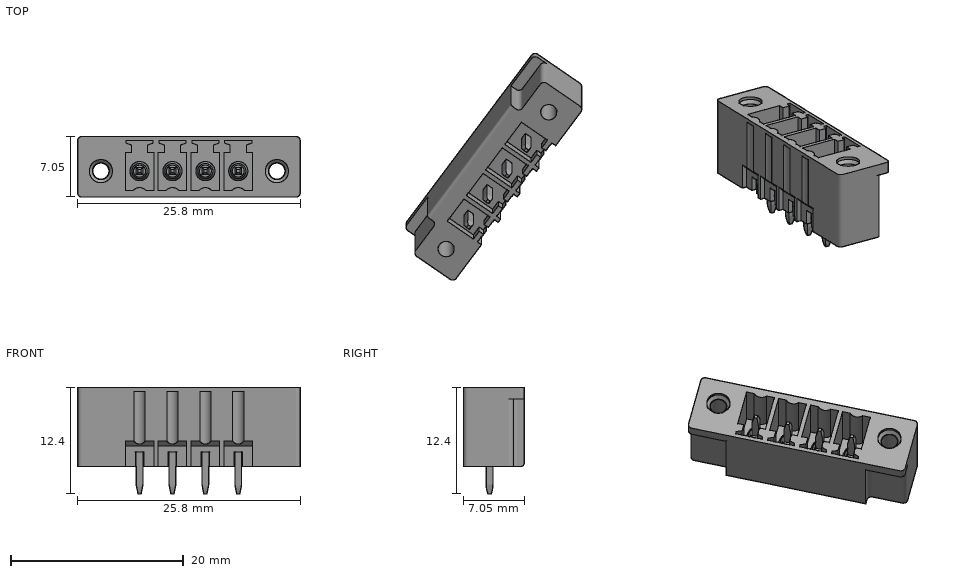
import cadquery as cq


length = 25.83
front_y = -3.02
back_y = 4.03
height = 9.2
corner_radius = 0.52
back_bottom_radius = 0.41

flange_thickness = 1.35
lug_back_y = 2.76
block_half_length = 8.32

screw_hole_x = 10.2
screw_hole_radius = 0.93
countersink_top_radius = 1.35
countersink_bottom_radius = 0.98
countersink_rim = 0.34
countersink_depth = 0.4

contact_count = 4
contact_row_length = 11.45
pitch = contact_row_length / (contact_count - 1)
contact_xs = [i * pitch - contact_row_length / 2 for i in range(contact_count)]

socket_half_width = 1.65
socket_floor_z = 3.2
socket_front_y = -2.25
socket_back_y = 2.17
coding_neck_half_width = 0.93
coding_neck_back_y = 3.02
coding_head_half_width = 1.58
coding_head_front_y = 3.25
coding_head_back_y = 3.56
bump_half_width = 0.75
bump_height = 0.34

groove_half_width = 0.65
groove_depth = 0.35
groove_top_z = height - 0.46

recess_depth = 0.57
recess_front_z = 2.97
recess_back_z = 2.4
skirt_thickness = 0.6
slot_half_width = 0.5
cavity_height = 1.7
cavity_front_y = front_y + recess_depth + skirt_thickness
cavity_back_y = -cavity_front_y

collar_base_radius = 1.1
collar_shoulder_radius = 0.88
collar_top_radius = 0.7
collar_shoulder_height = 0.9
collar_bevel_height = collar_shoulder_radius - collar_top_radius

pin_width = 0.8
pin_half_width = pin_width / 2
pin_tip_half_width = 0.18
pin_taper = 1.1
pin_bottom_z = -3.2
pin_top_z = 7.9
lower_taper_z = pin_bottom_z + pin_taper
upper_taper_z = pin_top_z - pin_taper
tip_inset = pin_half_width - pin_tip_half_width
tip_radius = (pin_taper**2 + tip_inset**2) / (2 * tip_inset)

selection_margin = 0.25


def box(x_min, x_max, y_min, y_max, z_min, z_max):
    """Box given by its limits along each axis."""
    return cq.Workplane("XY").box(
        x_max - x_min, y_max - y_min, z_max - z_min, centered=False
    ).translate((x_min, y_min, z_min))


def housing_block():
    """Flange plate, end lugs and middle block, before any openings."""
    flange_z = height - flange_thickness
    half_length = length / 2
    plate = box(-half_length, half_length, front_y, back_y, flange_z, height)
    plate = plate.edges("|Z").fillet(corner_radius)

    lugs = box(-half_length, half_length, front_y, lug_back_y, 0, flange_z)
    lugs = lugs.edges("|Z").fillet(corner_radius)
    middle = box(-block_half_length, block_half_length, front_y, back_y, 0, flange_z)
    lower = lugs.union(middle)
    inner_corners = cq.selectors.BoxSelector(
        (-block_half_length - selection_margin, lug_back_y - selection_margin, 0),
        (block_half_length + selection_margin, lug_back_y + selection_margin, flange_z),
    )
    lower = lower.edges("|Z").edges(inner_corners).fillet(corner_radius)
    lower = lower.faces("<Z").edges(">Y").fillet(back_bottom_radius)
    return plate.union(lower)


def screw_hole(x):
    """Through hole with a short straight rim and a conical countersink."""
    cone_top_z = height - countersink_rim
    cone_bottom_z = cone_top_z - countersink_depth
    profile = (
        cq.Workplane("XZ")
        .moveTo(0, 0)
        .lineTo(screw_hole_radius, 0)
        .lineTo(screw_hole_radius, cone_bottom_z)
        .lineTo(countersink_bottom_radius, cone_bottom_z)
        .lineTo(countersink_top_radius, cone_top_z)
        .lineTo(countersink_top_radius, height)
        .lineTo(0, height)
        .close()
    )
    return profile.revolve(360, (0, 0, 0), (0, 1, 0)).translate((x, 0, 0))


def socket():
    """Socket opening with the coding slot at the back and the bump at the front."""
    outline = (
        cq.Workplane("XY", origin=(0, 0, socket_floor_z))
        .moveTo(bump_half_width, socket_front_y)
        .lineTo(socket_half_width, socket_front_y)
        .lineTo(socket_half_width, socket_back_y)
        .lineTo(coding_neck_half_width, socket_back_y)
        .lineTo(coding_neck_half_width, coding_neck_back_y)
        .lineTo(coding_head_half_width, coding_head_front_y)
        .lineTo(coding_head_half_width, coding_head_back_y)
        .lineTo(-coding_head_half_width, coding_head_back_y)
        .lineTo(-coding_head_half_width, coding_head_front_y)
        .lineTo(-coding_neck_half_width, coding_neck_back_y)
        .lineTo(-coding_neck_half_width, socket_back_y)
        .lineTo(-socket_half_width, socket_back_y)
        .lineTo(-socket_half_width, socket_front_y)
        .lineTo(-bump_half_width, socket_front_y)
        .threePointArc((0, socket_front_y + bump_height), (bump_half_width, socket_front_y))
        .close()
    )
    return outline.extrude(height - socket_floor_z)


def collar():
    """Tapered collar with a beveled top that stands on the socket floor."""
    shoulder_z = socket_floor_z + collar_shoulder_height
    top_z = shoulder_z + collar_bevel_height
    profile = (
        cq.Workplane("XZ")
        .moveTo(0, socket_floor_z)
        .lineTo(collar_base_radius, socket_floor_z)
        .lineTo(collar_shoulder_radius, shoulder_z)
        .lineTo(collar_top_radius, top_z)
        .lineTo(0, top_z)
        .close()
    )
    return profile.revolve(360, (0, 0, 0), (0, 1, 0))


def front_groove():
    """Shallow round groove in the front face that runs down into the foot recess."""
    return (
        cq.Workplane("XY", origin=(0, 0, recess_back_z))
        .moveTo(-groove_half_width, front_y)
        .threePointArc((0, front_y + groove_depth), (groove_half_width, front_y))
        .close()
        .extrude(groove_top_z - recess_back_z)
    )


def foot_recess():
    """Recess in the front face, open at the bottom, with a sloped ceiling."""
    recess_back_y = front_y + recess_depth
    return (
        cq.Workplane("YZ", origin=(-socket_half_width, 0, 0))
        .moveTo(front_y, 0)
        .lineTo(recess_back_y, 0)
        .lineTo(recess_back_y, recess_back_z)
        .lineTo(front_y, recess_front_z)
        .close()
        .extrude(2 * socket_half_width)
    )


def solder_cavity():
    """Cavity around the pin at the bottom, with a slot through its front skirt."""
    cavity = box(-socket_half_width, socket_half_width, cavity_front_y, cavity_back_y, 0, cavity_height)
    slot = box(-slot_half_width, slot_half_width, front_y, cavity_back_y, 0, cavity_height)
    return cavity.union(slot)


def pin_front_profile():
    """Bar with straight tapers at both tips in the XZ plane."""
    return (
        cq.Workplane("XZ")
        .moveTo(-pin_half_width, lower_taper_z)
        .lineTo(-pin_half_width, upper_taper_z)
        .lineTo(-pin_tip_half_width, pin_top_z)
        .lineTo(pin_tip_half_width, pin_top_z)
        .lineTo(pin_half_width, upper_taper_z)
        .lineTo(pin_half_width, lower_taper_z)
        .lineTo(pin_tip_half_width, pin_bottom_z)
        .lineTo(-pin_tip_half_width, pin_bottom_z)
        .close()
        .extrude(pin_half_width, both=True)
    )


def pin_side_profile():
    """Bar in the YZ plane whose tips round inward, tangent to its straight sides."""
    return (
        cq.Workplane("YZ")
        .moveTo(-pin_half_width, lower_taper_z)
        .lineTo(-pin_half_width, upper_taper_z)
        .tangentArcPoint((-pin_tip_half_width, pin_top_z), relative=False)
        .lineTo(pin_tip_half_width, pin_top_z)
        .radiusArc((pin_half_width, upper_taper_z), tip_radius)
        .lineTo(pin_half_width, lower_taper_z)
        .tangentArcPoint((pin_tip_half_width, pin_bottom_z), relative=False)
        .lineTo(-pin_tip_half_width, pin_bottom_z)
        .radiusArc((-pin_half_width, lower_taper_z), tip_radius)
        .close()
        .extrude(pin_half_width, both=True)
    )


def make_pin():
    """Square pin that tapers on all four sides at both tips."""
    return pin_front_profile().intersect(pin_side_profile())


def make_housing():
    """Housing with its screw holes and, for each contact, all openings and a collar."""
    body = housing_block()
    for side in (-1, 1):
        body = body.cut(screw_hole(side * screw_hole_x))
    openings = [socket(), front_groove(), foot_recess(), solder_cavity()]
    for x in contact_xs:
        for opening in openings:
            body = body.cut(opening.translate((x, 0, 0)))
        body = body.union(collar().translate((x, 0, 0)))
        body = body.cut(pin.translate((x, 0, 0)))
    return body


pin = make_pin()
housing = make_housing()
pins = [pin.translate((x, 0, 0)) for x in contact_xs]

result = cq.Compound.makeCompound([housing.val(), *[single_pin.val() for single_pin in pins]])